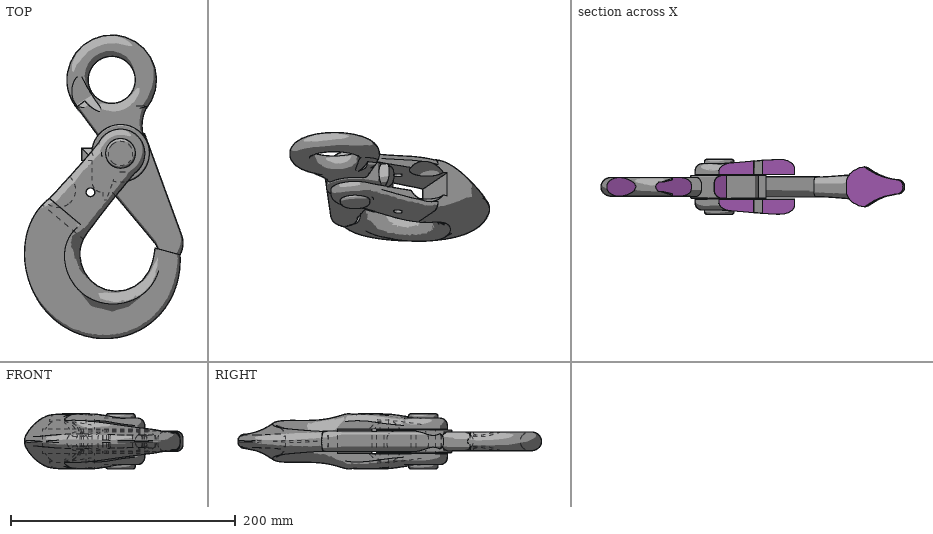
import cadquery as cq
import math

PART_LENGTH = 270.0

HANDLE_ANGLE = 230.0
ACROSS_ANGLE = HANDLE_ANGLE - 90
EAR_RADIUS = 21.5
EAR_HALF_THICKNESS = 20.8
EAR_FILLET = 6.8
HANDLE_HALF_THICKNESS = 24.0
EAR_LENGTH = 17.8
HANDLE_SWELL = 49.1
HANDLE_LENGTH = 71.3
HANDLE_END_HALF_WIDTH = 22.7
HANDLE_END_ROUND_WIDTH = 9.2
HANDLE_END_ROUND_HEIGHT = 6.5

SLOT_HALF_WIDTH = 10.8
SLOT_LENGTH = 79.7
SPRING_HOLE_X = -26.7
SPRING_HOLE_Y = -34.5
SPRING_HOLE_RADIUS = 3.8
RECESS_ALONG = 60.5
RECESS_RADIUS = 19.0

PIN_RADIUS = 10.8
PIN_HEAD_RADIUS = 13.2
PIN_LENGTH = 49.5
PIN_HALF_LENGTH = PIN_LENGTH / 2
PIN_HEAD_FILLET = 2.7

BOWL_RADIUS = 32.5
RIM_WIDTH = 6.5
RIM_FLAT = 0.8
SLIGHT_SAG = 0.14

EYE_X = -7.8
EYE_RADIUS = 40.0
EYE_HOLE_RADIUS = 20.8
EYE_RING_RADIUS = (EYE_RADIUS + EYE_HOLE_RADIUS) / 2
EYE_THICKNESS = 17.0
EYE_HALF_THICKNESS = EYE_THICKNESS / 2
HOOK_BOTTOM = -164.7
EYE_Y = HOOK_BOTTOM + PART_LENGTH - EYE_RADIUS

MARK_ANGLE = 211.6
MARK_FLAT = 5.5
MARK_LENGTH = 36.7
MARK_Z = 4.3

HUB_RADIUS = 25.7
HUB_HALF_THICKNESS = 10.3
HUB_FILLET = 1.5
ARM_HALF_THICKNESS = 9.2
ARM_FILLET = 6.5
ARM_CORNER = (31.0, -80.5)
NECK_FILLET = 6.5
NECK_OVERLAP = 0.5
NECK_LEFT_ANGLE = 217
NECK_RIGHT_ANGLE = 323
NECK_BOTTOM = 14.0

LUG_X = -34.5
LUG_TOP = 4.5
LUG_BOTTOM = -6.5
LUG_FILLET = 7.3
NOSE_X = -25.5
NOSE_TOP = -24.8
NOSE_RADIUS = 10.0
LIP_X = -16.2
LIP_BOTTOM = -41.5

TIP_INNER = (33.2, -84.8)
TIP_OUTER = (53.0, -90.2)


def polar(radius, angle, centre=(0.0, 0.0)):
    a = math.radians(angle)
    return (centre[0] + radius * math.cos(a), centre[1] + radius * math.sin(a))


def handle_point(along, across):
    """Point at a distance along the handle and across it towards its back."""
    return polar(across, ACROSS_ANGLE, polar(along, HANDLE_ANGLE))


BOWL_CENTRE = handle_point(HANDLE_LENGTH, -(BOWL_RADIUS + HANDLE_END_HALF_WIDTH))


def section(origin, angle, inner, inner_flat, ridge, ridge_z, rim, rim_z, outer, outer_flat, sag=0.0):
    """Cross-section in the vertical plane through origin at the given angle.

    Distances inner, ridge, rim and outer run outwards from the origin. The inner side and the outer
    side are each flat to a half-height and then rounded, up to the ridge and down to the rim. The
    flank between ridge and rim sinks by sag below a straight line.
    """
    bulge = math.sqrt(0.5)
    inner_mid = (ridge - (ridge - inner) * bulge, inner_flat + (ridge_z - inner_flat) * bulge)
    flank_mid = ((ridge + rim) / 2, (ridge_z + rim_z) / 2 - sag)
    outer_mid = (rim + (outer - rim) * bulge, outer_flat + (rim_z - outer_flat) * bulge)
    plane = cq.Plane(origin=(*origin, 0), xDir=(*polar(1, angle), 0), normal=(*polar(1, angle - 90), 0))

    def flank(outline, middle, end):
        if sag == 0:
            return outline.lineTo(*end)
        return outline.threePointArc(middle, end)

    outline = (
        cq.Workplane(plane)
        .moveTo(inner, -inner_flat)
        .lineTo(inner, inner_flat)
        .threePointArc(inner_mid, (ridge, ridge_z))
    )
    outline = (
        flank(outline, flank_mid, (rim, rim_z))
        .threePointArc(outer_mid, (outer, outer_flat))
        .lineTo(outer, -outer_flat)
        .threePointArc((outer_mid[0], -outer_mid[1]), (rim, -rim_z))
    )
    return (
        flank(outline, (flank_mid[0], -flank_mid[1]), (ridge, -ridge_z))
        .threePointArc((inner_mid[0], -inner_mid[1]), (inner, -inner_flat))
        .close()
        .wire()
        .val()
    )


def handle_section(along, half_width, half_thickness, round_width, round_height):
    """Rectangle with rounded corners across the handle, at a distance from the pivot."""
    edge = half_width - round_width
    flat = half_thickness - round_height
    return section(
        polar(along, HANDLE_ANGLE), ACROSS_ANGLE,
        -half_width, flat, -edge, half_thickness, edge, half_thickness, half_width, flat,
    )


def handle_solid():
    sections = [
        handle_section(0, 21.0, EAR_HALF_THICKNESS, EAR_FILLET, EAR_FILLET),
        handle_section(EAR_LENGTH, 20.8, EAR_HALF_THICKNESS, 7.5, 6.0),
        handle_section(HANDLE_SWELL, 21.5, HANDLE_HALF_THICKNESS, 8.6, 6.0),
        handle_section(
            HANDLE_LENGTH, HANDLE_END_HALF_WIDTH, HANDLE_HALF_THICKNESS,
            HANDLE_END_ROUND_WIDTH, HANDLE_END_ROUND_HEIGHT,
        ),
    ]
    ear = (
        cq.Workplane("XY")
        .circle(EAR_RADIUS)
        .extrude(EAR_HALF_THICKNESS, both=True)
        .edges()
        .fillet(EAR_FILLET)
    )
    return ear.union(cq.Workplane(cq.Solid.makeLoft(sections)))


def bowl_section(angle, inner, inner_flat, ridge, ridge_z, rim_z, outer, outer_flat, sag):
    """Radial section of the curved hook, measured from the middle of its opening."""
    rim = outer - RIM_WIDTH
    return section(
        BOWL_CENTRE, angle, inner, inner_flat, ridge, ridge_z, rim, rim_z, outer, outer_flat, sag
    )


def bowl_solid():
    """Curved hook, lofted from the thick end of the handle round to the slender tip."""
    start_flat = HANDLE_HALF_THICKNESS - HANDLE_END_ROUND_HEIGHT
    start_ridge = BOWL_RADIUS + HANDLE_END_ROUND_WIDTH
    start_outer = BOWL_RADIUS + 2 * HANDLE_END_HALF_WIDTH
    sections = [
        bowl_section(
            ACROSS_ANGLE, BOWL_RADIUS, start_flat, start_ridge, HANDLE_HALF_THICKNESS,
            HANDLE_HALF_THICKNESS, start_outer, start_flat, SLIGHT_SAG,
        ),
        bowl_section(160, BOWL_RADIUS, 8.0, 44.8, 22.7, 15.0, 81.5, 9.2, 1.5),
        bowl_section(180, BOWL_RADIUS, 4.0, 46.2, 19.5, 6.2, 81.8, RIM_FLAT, 2.2),
        bowl_section(225, BOWL_RADIUS, 2.7, 46.0, 18.5, 6.0, 80.0, RIM_FLAT, 2.5),
        bowl_section(270, BOWL_RADIUS, 2.7, 43.7, 14.9, 6.0, 74.0, RIM_FLAT, 1.5),
        bowl_section(310, BOWL_RADIUS, 2.7, 41.9, 11.3, 6.2, 64.8, RIM_FLAT, 0.8),
        bowl_section(345, BOWL_RADIUS, 2.7, 40.0, 9.5, 8.0, 58.0, RIM_FLAT, SLIGHT_SAG),
        bowl_section(375, 36.0, 2.7, 42.0, 9.2, 8.6, 56.7, RIM_FLAT, SLIGHT_SAG),
    ]
    return cq.Workplane(cq.Solid.makeLoft(sections))


def latch_side():
    """Everything on the latch side of the line where the latch meets the tip of the hook."""
    run = TIP_OUTER[0] - TIP_INNER[0]
    rise = TIP_OUTER[1] - TIP_INNER[1]
    return (
        cq.Workplane("XY")
        .polyline([
            (TIP_INNER[0] - run, TIP_INNER[1] - rise),
            (TIP_OUTER[0] + run, TIP_OUTER[1] + rise),
            (TIP_OUTER[0] + run, TIP_INNER[1] + BOWL_RADIUS),
            (TIP_INNER[0] - run, TIP_INNER[1] + BOWL_RADIUS),
        ])
        .close()
        .extrude(HANDLE_HALF_THICKNESS, both=True)
    )


def fork_slot():
    length = SLOT_LENGTH + 2 * EAR_RADIUS
    width = 3 * EAR_RADIUS
    centre = polar(SLOT_LENGTH - length / 2, HANDLE_ANGLE)
    return (
        cq.Workplane("XY")
        .box(length, width, 2 * SLOT_HALF_WIDTH)
        .rotate((0, 0, 0), (0, 0, 1), HANDLE_ANGLE)
        .translate((*centre, 0))
    )


def pin():
    """Two heads outside the ears and a shaft that passes through the latch."""
    return (
        cq.Workplane("XY").circle(PIN_HEAD_RADIUS).extrude(PIN_HALF_LENGTH, both=True)
        .edges().fillet(PIN_HEAD_FILLET)
        .cut(cq.Workplane("XY").circle(HUB_RADIUS).circle(PIN_RADIUS).extrude(SLOT_HALF_WIDTH, both=True))
    )


def make_hook():
    spring_hole = (
        cq.Workplane("XY").center(SPRING_HOLE_X, SPRING_HOLE_Y)
        .circle(SPRING_HOLE_RADIUS).extrude(PIN_HALF_LENGTH, both=True)
    )
    recess = cq.Workplane("XY").sphere(RECESS_RADIUS).translate((*handle_point(RECESS_ALONG, EAR_RADIUS), 0))
    return (
        bowl_solid().cut(latch_side()).union(handle_solid())
        .cut(fork_slot()).cut(spring_hole).cut(recess)
        .union(pin())
    )


def eye():
    """Ring of elliptical cross-section."""
    half_width = (EYE_RADIUS - EYE_HOLE_RADIUS) / 2
    return (
        cq.Workplane("XZ").center(EYE_RING_RADIUS, 0).ellipse(half_width, EYE_HALF_THICKNESS)
        .revolve(360, (-EYE_RING_RADIUS, 0, 0), (-EYE_RING_RADIUS, 1, 0))
        .translate((EYE_X, EYE_Y, 0))
    )


def wear_marks():
    """Shallow cuts with a flat floor and sloping ends across both faces of the ring."""
    top = 2 * EYE_HALF_THICKNESS - MARK_Z
    floor_end = MARK_FLAT / 2
    top_end = MARK_LENGTH - floor_end
    cut = (
        cq.Workplane("YZ")
        .polyline([(-floor_end, MARK_Z), (floor_end, MARK_Z), (top_end, top), (-top_end, top)])
        .close()
        .extrude(EYE_RADIUS + 2.7)
        .rotate((0, 0, 0), (0, 0, 1), MARK_ANGLE)
        .translate((EYE_X, EYE_Y, 0))
    )
    return cut.union(cut.mirror("XY"))


def neck():
    """Plate with rounded edges that joins the ring to the hub."""
    edge_radius = EYE_RADIUS - NECK_OVERLAP
    left_top = polar(edge_radius, NECK_LEFT_ANGLE, (EYE_X, EYE_Y))
    right_top = polar(edge_radius, NECK_RIGHT_ANGLE, (EYE_X, EYE_Y))
    ring_inside = (
        cq.Workplane("XY").center(EYE_X, EYE_Y)
        .circle(EYE_RING_RADIUS).extrude(EYE_HALF_THICKNESS, both=True)
    )
    return (
        cq.Workplane("XY")
        .moveTo(*left_top)
        .lineTo(-19.0, NECK_BOTTOM)
        .lineTo(20.8, NECK_BOTTOM)
        .threePointArc((19.5, 28.4), right_top)
        .lineTo(EYE_X, EYE_Y)
        .close()
        .extrude(EYE_HALF_THICKNESS, both=True)
        .faces("|Z").edges().fillet(NECK_FILLET)
        .cut(ring_inside)
    )


def hub():
    return (
        cq.Workplane("XY").circle(HUB_RADIUS).extrude(HUB_HALF_THICKNESS, both=True)
        .edges().fillet(HUB_FILLET)
    )


def arm():
    """Arm with rounded long edges, cut off square where it meets the tip of the hook."""
    reach = PART_LENGTH
    long_edges = cq.selectors.BoxSelector((-reach, TIP_INNER[1], -reach), (reach, reach, reach))
    return (
        cq.Workplane("XY")
        .moveTo(21.3, 17.8)
        .lineTo(54.0, -71.5)
        .threePointArc((55.5, -80.5), TIP_OUTER)
        .lineTo(*TIP_INNER)
        .lineTo(*ARM_CORNER)
        .lineTo(-15.0, -25.0)
        .close()
        .extrude(ARM_HALF_THICKNESS, both=True)
        .faces("|Z").edges(long_edges)
        .fillet(ARM_FILLET)
    )


def lug():
    """Rounded lug that sticks out behind the fork."""
    return (
        cq.Workplane("XY")
        .moveTo(0, LUG_TOP)
        .lineTo(LUG_X, LUG_TOP)
        .lineTo(LUG_X, LUG_BOTTOM)
        .lineTo(0, LUG_BOTTOM)
        .close()
        .extrude(HUB_HALF_THICKNESS, both=True)
        .faces(">Y or <X").edges("|X or |Y")
        .fillet(LUG_FILLET)
    )


def catch():
    """Rounded nose and lip inside the fork, clear of the spring hole."""
    nose_y = NOSE_TOP - NOSE_RADIUS
    nose_x = NOSE_X + NOSE_RADIUS
    return (
        cq.Workplane("XY")
        .moveTo(NOSE_X, LUG_BOTTOM)
        .lineTo(NOSE_X, NOSE_TOP)
        .radiusArc((nose_x, nose_y), -NOSE_RADIUS)
        .lineTo(LIP_X, LIP_BOTTOM)
        .lineTo(nose_x + 2.7, LIP_BOTTOM)
        .lineTo(0, LUG_BOTTOM)
        .close()
        .extrude(HUB_HALF_THICKNESS, both=True)
    )


def make_latch():
    pin_hole = cq.Workplane("XY").circle(PIN_RADIUS).extrude(PIN_HALF_LENGTH, both=True)
    return (
        eye().cut(wear_marks()).union(neck()).union(hub())
        .union(arm()).union(lug()).union(catch())
        .cut(pin_hole)
    )


hook = make_hook()
latch = make_latch()
result = cq.Compound.makeCompound([hook.val(), latch.val()])